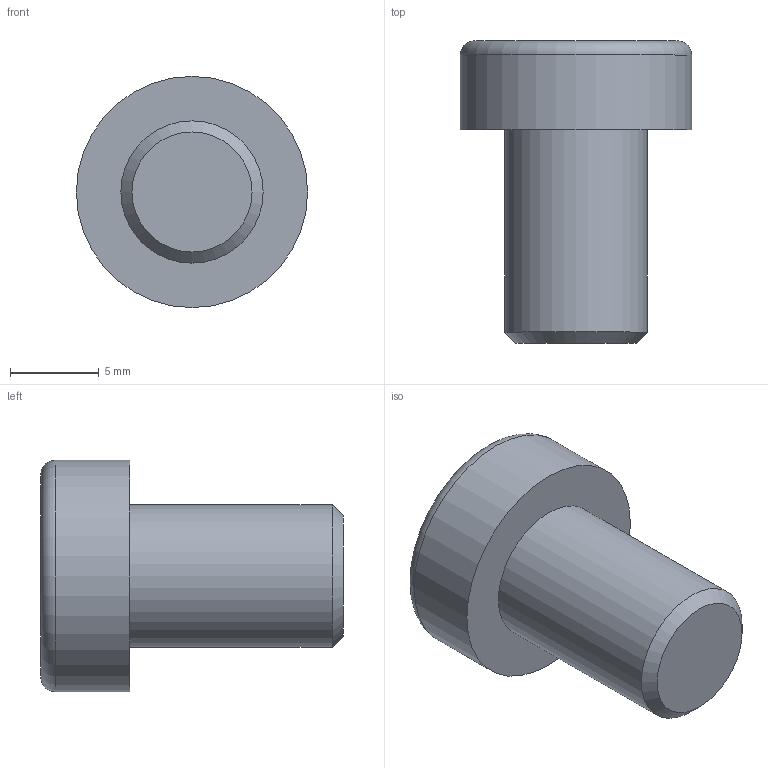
import cadquery as cq

head_diameter = 13.0
head_height = 5.0
head_edge_radius = 0.8
shank_diameter = 8.0
shank_length = 12.0
tip_chamfer = 0.625


def make_head():
    """Round head with its outer rim rounded over."""
    head = cq.Workplane("XZ").circle(head_diameter / 2).extrude(-head_height)
    return head.faces(">Y").edges().fillet(head_edge_radius)


def make_shank():
    """Plain cylindrical shank with a chamfered free end."""
    shank = cq.Workplane("XZ").circle(shank_diameter / 2).extrude(shank_length)
    return shank.faces("<Y").edges().chamfer(tip_chamfer)


result = make_head().union(make_shank())